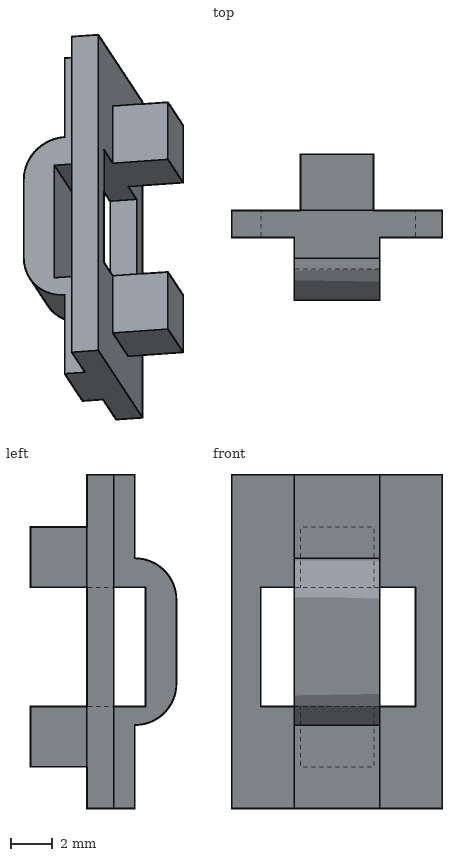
import cadquery as cq

plate_width = 10.1
plate_thickness = 1.3
plate_height = 16.0

rib_width = 4.1
rib_thickness = 1.0
loop_height = 8.0
loop_radius = 2.0

window_width = 7.4
window_height = 5.7
window_center_x = 0.05
window_center_z = -0.25
passage_depth = 1.5

peg_width = 3.5
peg_length = 2.7
peg_height = 2.9

plate_front_y = -plate_thickness
rib_front_y = plate_front_y - rib_thickness
loop_front_y = rib_front_y - loop_radius


def block(width, y_min, y_max, height, center_z):
    """Box centred on X, spanning y_min to y_max."""
    return (
        cq.Workplane("XY")
        .box(width, y_max - y_min, height)
        .translate((0, (y_min + y_max) / 2, center_z))
    )


def make_rib():
    """Rib over the full plate height, with the loop rounded at both ends."""
    strip = block(rib_width, rib_front_y, plate_front_y, plate_height, 0)
    half_loop = loop_height / 2
    half_flat = half_loop - loop_radius
    arc_offset = loop_radius * 0.5**0.5
    arc_mid_y = rib_front_y - arc_offset
    arc_mid_z = half_flat + arc_offset
    loop = (
        cq.Workplane("YZ")
        .moveTo(plate_front_y, -half_loop)
        .lineTo(rib_front_y, -half_loop)
        .threePointArc((arc_mid_y, -arc_mid_z), (loop_front_y, -half_flat))
        .lineTo(loop_front_y, half_flat)
        .threePointArc((arc_mid_y, arc_mid_z), (rib_front_y, half_loop))
        .lineTo(plate_front_y, half_loop)
        .close()
        .extrude(rib_width / 2, both=True)
    )
    return strip.union(loop)


def make_peg(side):
    """Peg above (side = 1) or below (side = -1) the window."""
    center_z = window_center_z + side * (window_height + peg_height) / 2
    return block(peg_width, 0, peg_length, peg_height, center_z)


plate = block(plate_width, plate_front_y, 0, plate_height, 0)
window = block(
    window_width, plate_front_y - passage_depth, 0, window_height, window_center_z
).translate((window_center_x, 0, 0))

result = plate.union(make_rib()).cut(window)
for side in (1, -1):
    result = result.union(make_peg(side))